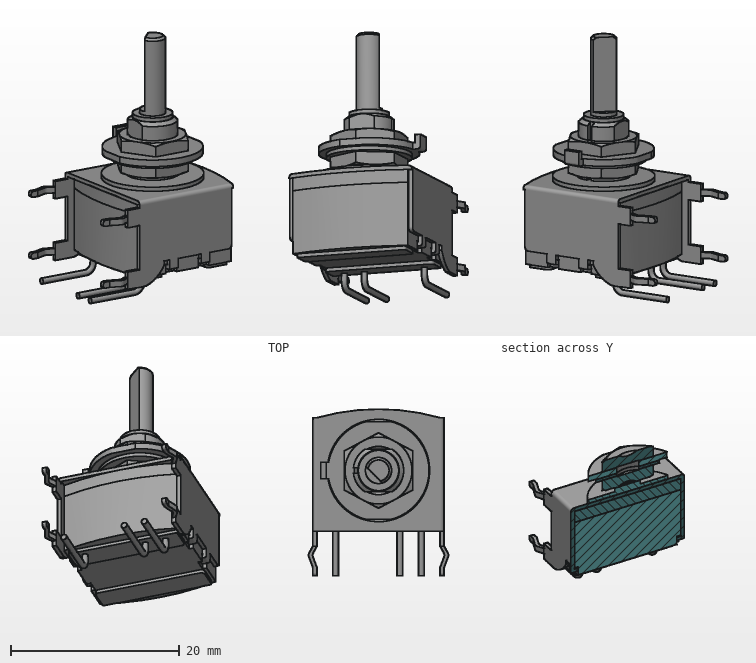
import cadquery as cq
import math


SHEET = 0.5

BRACKET_HALF_WIDTH = 7.8
INNER_HALF_WIDTH = BRACKET_HALF_WIDTH - SHEET
FRONT_Y = -7.25
BACK_Y = 7.3
SIDE_EDGE_Y = 6.28
SIDE_BACK_Y = 6.07
SIDE_BOTTOM_Z = -7.93
SIDE_BACK_RADIUS = 0.5
BEND_RADIUS = 0.48

LEG_CENTERS_Z = (-1.88, -9.5)
LOBE_HALF_HEIGHT = 1.08
LOBE_END_Y = -8.98
SKIRT_BACK_Y = -3.7
SKIRT_ARC_TOP_Z = -8.45
SKIRT_ARC_END_Y = -6.3
SKIRT_ARC_BULGE = 0.33
LEG_WIDTH = 0.75
LEG_END_Y = -12.5
KINK_START_Y = -9.75
KINK_END_Y = -10.32
KINK_FOOT_Y = -11.52
KINK_CROWN_Y = -10.02
KINK_START_OUT = 0.42
KINK_CROWN_OUT = 0.5
KINK_END_OUT = 0.45
LEG_TIP_RADIUS = 0.35

TAB_CENTER_Y = 2.27
TAB_WIDTH = 1.25
TAB_BOTTOM_Z = -9.15
TAB_BEND_RADIUS = 0.27
NOTCH_CENTER_Y = 2.33
NOTCH_WIDTH = 1.53
NOTCH_TOP_Z = -8.55
NOTCH_DEPTH = SHEET

COVER_BOTTOM_Z = -2.05
HOUSING_BOTTOM_Z = -9.7
FOOT_HALF_WIDTH = 6.88
FOOT_INNER_Y = 3.2
FOOT_OUTER_Y = 6.07
FOOT_HEIGHT = 0.45
FOOT_OUTER_RADIUS = 0.25
FOOT_INNER_RADIUS = 0.48

PIN_DIAMETER = 0.72
PIN_PITCH = 2.55
PIN_X = (-2 * PIN_PITCH, PIN_PITCH, 2 * PIN_PITCH)
PIN_Y = -5.1
PIN_BEND_RADIUS = 1.08
PIN_LEVEL_Z = -12.03

FLANGE_DIAMETER = 12.18
FLANGE_HEIGHT = 0.5
SHOULDER_DIAMETER = 6.3
SHOULDER_TOP_Z = 1.02
THREAD_DIAMETER = 5.98
THREAD_MINOR_DIAMETER = 4.9
THREAD_TOP_Z = 7.5
THREAD_CHAMFER_HEIGHT = 0.42
LIP_DIAMETER = 4.8
LIP_TOP_Z = 8.0
THREAD_FLAT_Y = 2.55
KEYWAY_WIDTH = 0.6

SHAFT_DIAMETER = 3.1
SHAFT_TOP_Z = 17.53
SHAFT_CHAMFER = 0.3
SHAFT_FLAT_BOTTOM_Z = 8.47
SHAFT_FLAT_OFFSET = 0.72
SHAFT_FLAT_ANGLE = -135

NUT_SIDE_X = 4.05
NUT_SIDE_CORNER_Y = 2.33
NUT_TIP_Y = 4.5
NUT_TOP_DIAMETER = 7.95
NUT_CORNER_DROP = 0.27
NUT_HEIGHT = 1.53
LOCK_WASHER_DIAMETER = 10.2
LOCK_WASHER_THICKNESS = 0.48
TAB_WASHER_DIAMETER = 12.0
TAB_WASHER_THICKNESS = 0.8
TAB_WASHER_FLAT_Y = 5.8
WASHER_TAB_OUTER_X = -6.88
WASHER_TAB_THICKNESS = 0.7
WASHER_TAB_WIDTH = 2.0
WASHER_TAB_HEIGHT = 1.77
WASHER_TAB_RADIUS = 0.4
LOWER_NUT_Z = SHOULDER_TOP_Z
LOCK_WASHER_Z = LOWER_NUT_Z + NUT_HEIGHT
TAB_WASHER_Z = LOCK_WASHER_Z + LOCK_WASHER_THICKNESS
UPPER_NUT_Z = TAB_WASHER_Z + TAB_WASHER_THICKNESS


def box(x_range, y_range, z_range):
    """Axis-aligned box between the given limits."""
    lengths = [end - start for start, end in (x_range, y_range, z_range)]
    corner = cq.Vector(x_range[0], y_range[0], z_range[0])
    return cq.Workplane(cq.Solid.makeBox(*lengths, corner))


def disc(diameter, bottom_z, height):
    """Vertical cylinder on the shaft axis."""
    return cq.Workplane().workplane(offset=bottom_z).circle(diameter / 2).extrude(height)


def body_block(bottom_z, top_z):
    """Block with flat sides and crowned front and back faces."""
    return (
        cq.Workplane()
        .workplane(offset=bottom_z)
        .moveTo(-INNER_HALF_WIDTH, -SIDE_EDGE_Y)
        .threePointArc((0, FRONT_Y), (INNER_HALF_WIDTH, -SIDE_EDGE_Y))
        .lineTo(INNER_HALF_WIDTH, SIDE_EDGE_Y)
        .threePointArc((0, BACK_Y), (-INNER_HALF_WIDTH, SIDE_EDGE_Y))
        .close()
        .extrude(top_z - bottom_z)
    )


def make_foot():
    """Rounded bar across the back of the housing's underside."""
    foot = box(
        (-FOOT_HALF_WIDTH, FOOT_HALF_WIDTH),
        (FOOT_INNER_Y, FOOT_OUTER_Y),
        (HOUSING_BOTTOM_Z - FOOT_HEIGHT, HOUSING_BOTTOM_Z),
    )
    foot = foot.edges("|Z and >Y").fillet(FOOT_OUTER_RADIUS)
    return foot.edges("|Z and <Y").fillet(FOOT_INNER_RADIUS)


def make_pin(x):
    """Round terminal that leaves the foot downwards and bends to the front."""
    bend_mid = PIN_BEND_RADIUS * math.sin(math.radians(45))
    bend_y = PIN_Y - PIN_BEND_RADIUS
    bend_z = PIN_LEVEL_Z + PIN_BEND_RADIUS
    path = (
        cq.Workplane("YZ", origin=(x, 0, 0))
        .moveTo(PIN_Y, HOUSING_BOTTOM_Z)
        .lineTo(PIN_Y, bend_z)
        .threePointArc((bend_y + bend_mid, bend_z - bend_mid), (bend_y, PIN_LEVEL_Z))
        .lineTo(LEG_END_Y, PIN_LEVEL_Z)
    )
    profile = cq.Workplane(origin=(x, PIN_Y, HOUSING_BOTTOM_Z)).circle(PIN_DIAMETER / 2)
    return profile.sweep(path)


def make_housing():
    """Housing with crimp notches, two feet and the terminal pins."""
    housing = body_block(HOUSING_BOTTOM_Z, COVER_BOTTOM_Z)
    notch = box(
        (INNER_HALF_WIDTH - NOTCH_DEPTH, INNER_HALF_WIDTH),
        (NOTCH_CENTER_Y - NOTCH_WIDTH / 2, NOTCH_CENTER_Y + NOTCH_WIDTH / 2),
        (HOUSING_BOTTOM_Z, NOTCH_TOP_Z),
    )
    notch_pair = notch.union(notch.mirror("XZ"))
    housing = housing.cut(notch_pair).cut(notch_pair.mirror("YZ"))
    foot = make_foot()
    housing = housing.union(foot).union(foot.mirror("XZ"))
    for x in PIN_X:
        housing = housing.union(make_pin(x))
    return housing


def make_top_plate():
    """Top plate with rounded bends, straight in front and crowned at the back."""
    plate = (
        cq.Workplane()
        .workplane(offset=-SHEET)
        .moveTo(-BRACKET_HALF_WIDTH, FRONT_Y)
        .lineTo(BRACKET_HALF_WIDTH, FRONT_Y)
        .lineTo(BRACKET_HALF_WIDTH, SIDE_EDGE_Y)
        .lineTo(INNER_HALF_WIDTH, SIDE_EDGE_Y)
        .threePointArc((0, BACK_Y), (-INNER_HALF_WIDTH, SIDE_EDGE_Y))
        .lineTo(-BRACKET_HALF_WIDTH, SIDE_EDGE_Y)
        .close()
        .extrude(SHEET)
    )
    bends = plate.faces(">Z").edges("<X or >X")
    return bends.fillet(BEND_RADIUS)


def make_leg(center_z):
    """Solder leg of the right side plate: kinked outwards, with a round tip."""
    outer_x = BRACKET_HALF_WIDTH
    inner_x = INNER_HALF_WIDTH
    strip = (
        cq.Workplane()
        .workplane(offset=center_z - LEG_WIDTH / 2)
        .moveTo(outer_x, LOBE_END_Y)
        .lineTo(outer_x + KINK_START_OUT, KINK_START_Y)
        .threePointArc(
            (outer_x + KINK_CROWN_OUT, KINK_CROWN_Y),
            (outer_x + KINK_END_OUT, KINK_END_Y),
        )
        .lineTo(outer_x, KINK_FOOT_Y)
        .lineTo(outer_x, LEG_END_Y)
        .lineTo(inner_x, LEG_END_Y)
        .lineTo(inner_x, KINK_FOOT_Y)
        .lineTo(inner_x + KINK_END_OUT, KINK_END_Y)
        .threePointArc(
            (inner_x + KINK_CROWN_OUT, KINK_CROWN_Y),
            (inner_x + KINK_START_OUT, KINK_START_Y),
        )
        .lineTo(inner_x, LOBE_END_Y)
        .close()
        .extrude(LEG_WIDTH)
    )
    return strip.edges("|X and <Y").fillet(LEG_TIP_RADIUS)


def make_side_plate():
    """Right side plate below the bend, with its two lobes."""
    upper_z, lower_z = LEG_CENTERS_Z
    skirt_z = lower_z - LOBE_HALF_HEIGHT
    plate = (
        cq.Workplane("YZ", origin=(INNER_HALF_WIDTH, 0, 0))
        .moveTo(SIDE_BACK_Y, -SHEET)
        .lineTo(FRONT_Y, -SHEET)
        .lineTo(FRONT_Y, upper_z + LOBE_HALF_HEIGHT)
        .lineTo(LOBE_END_Y, upper_z + LOBE_HALF_HEIGHT)
        .lineTo(LOBE_END_Y, upper_z - LOBE_HALF_HEIGHT)
        .lineTo(FRONT_Y, upper_z - LOBE_HALF_HEIGHT)
        .lineTo(FRONT_Y, lower_z + LOBE_HALF_HEIGHT)
        .lineTo(LOBE_END_Y, lower_z + LOBE_HALF_HEIGHT)
        .lineTo(LOBE_END_Y, skirt_z)
        .lineTo(SKIRT_ARC_END_Y, skirt_z)
        .sagittaArc((SKIRT_BACK_Y, SKIRT_ARC_TOP_Z), -SKIRT_ARC_BULGE)
        .lineTo(SKIRT_BACK_Y, SIDE_BOTTOM_Z)
        .lineTo(SIDE_BACK_Y, SIDE_BOTTOM_Z)
        .close()
        .extrude(SHEET)
    )
    return plate.edges("|X").edges(">Y").edges("<Z").fillet(SIDE_BACK_RADIUS)


def make_crimp_tab():
    """Tab that hangs from the right side plate and folds into the housing's notch."""
    y_range = (TAB_CENTER_Y - TAB_WIDTH / 2, TAB_CENTER_Y + TAB_WIDTH / 2)
    hanging = box((INNER_HALF_WIDTH, BRACKET_HALF_WIDTH), y_range, (TAB_BOTTOM_Z, SIDE_BOTTOM_Z))
    folded = box(
        (INNER_HALF_WIDTH - NOTCH_DEPTH, INNER_HALF_WIDTH),
        y_range,
        (TAB_BOTTOM_Z, TAB_BOTTOM_Z + SHEET),
    )
    return hanging.union(folded).edges("|Y and >X and <Z").fillet(TAB_BEND_RADIUS)


def make_bracket():
    """Sheet bracket: top plate and two mirrored sides with legs and crimp tabs."""
    side = make_side_plate()
    for center_z in LEG_CENTERS_Z:
        side = side.union(make_leg(center_z))
    tab = make_crimp_tab()
    side = side.union(tab).union(tab.mirror("XZ"))
    return make_top_plate().union(side).union(side.mirror("YZ"))


def make_bushing():
    """Flanged threaded bushing with two flats, a keyway and a bore for the shaft."""
    minor_radius = THREAD_MINOR_DIAMETER / 2
    thread_radius = THREAD_DIAMETER / 2
    thread = disc(THREAD_DIAMETER, SHOULDER_TOP_Z, THREAD_TOP_Z - SHOULDER_TOP_Z)
    thread = thread.faces(">Z").chamfer(THREAD_CHAMFER_HEIGHT, thread_radius - minor_radius)
    thread = thread.intersect(
        box(
            (-thread_radius, thread_radius),
            (-THREAD_FLAT_Y, THREAD_FLAT_Y),
            (SHOULDER_TOP_Z, THREAD_TOP_Z),
        )
    )
    bushing = disc(SHOULDER_DIAMETER, 0, SHOULDER_TOP_Z).union(thread)
    keyway = box(
        (-SHOULDER_DIAMETER, -minor_radius),
        (-KEYWAY_WIDTH / 2, KEYWAY_WIDTH / 2),
        (FLANGE_HEIGHT, THREAD_TOP_Z),
    )
    bushing = bushing.cut(keyway)
    bushing = bushing.union(disc(FLANGE_DIAMETER, 0, FLANGE_HEIGHT))
    bushing = bushing.union(disc(LIP_DIAMETER, THREAD_TOP_Z, LIP_TOP_Z - THREAD_TOP_Z))
    return bushing.cut(disc(SHAFT_DIAMETER, 0, LIP_TOP_Z))


def make_shaft():
    """Round shaft with a flat that faces the front left."""
    shaft = disc(SHAFT_DIAMETER, 0, SHAFT_TOP_Z).faces(">Z").chamfer(SHAFT_CHAMFER)
    flat = box(
        (SHAFT_FLAT_OFFSET, SHAFT_DIAMETER),
        (-SHAFT_DIAMETER, SHAFT_DIAMETER),
        (SHAFT_FLAT_BOTTOM_Z, SHAFT_TOP_Z),
    )
    return shaft.cut(flat.rotate((0, 0, 0), (0, 0, 1), SHAFT_FLAT_ANGLE))


def make_nut():
    """Hexagon nut on z = 0, chamfered and countersunk on top, with corners at the front and back."""
    corners = [
        (0, NUT_TIP_Y),
        (NUT_SIDE_X, NUT_SIDE_CORNER_Y),
        (NUT_SIDE_X, -NUT_SIDE_CORNER_Y),
        (0, -NUT_TIP_Y),
        (-NUT_SIDE_X, -NUT_SIDE_CORNER_Y),
        (-NUT_SIDE_X, NUT_SIDE_CORNER_Y),
    ]
    hexagon = cq.Workplane().polyline(corners).close().extrude(NUT_HEIGHT)
    corner_diameter = 2 * math.hypot(NUT_SIDE_X, NUT_SIDE_CORNER_Y)
    chamfer_width = (corner_diameter - NUT_TOP_DIAMETER) / 2
    corner_cone = disc(corner_diameter, 0, NUT_HEIGHT)
    corner_cone = corner_cone.faces(">Z").chamfer(NUT_CORNER_DROP, chamfer_width)
    nut = hexagon.intersect(corner_cone)
    nut = nut.cut(disc(THREAD_MINOR_DIAMETER, 0, NUT_HEIGHT))
    countersink_width = (THREAD_DIAMETER - THREAD_MINOR_DIAMETER) / 2
    rim = nut.faces(">Z").edges("%CIRCLE").edges(cq.selectors.RadiusNthSelector(0))
    return rim.chamfer(THREAD_CHAMFER_HEIGHT, countersink_width)


def make_lock_washer():
    """Plain ring between the lower nut and the tab washer."""
    washer = disc(LOCK_WASHER_DIAMETER, LOCK_WASHER_Z, LOCK_WASHER_THICKNESS)
    return washer.cut(disc(THREAD_DIAMETER, LOCK_WASHER_Z, LOCK_WASHER_THICKNESS))


def make_tab_washer():
    """Washer with two flats and an upturned locating tab on the left."""
    radius = TAB_WASHER_DIAMETER / 2
    top_z = TAB_WASHER_Z + TAB_WASHER_THICKNESS
    washer = disc(TAB_WASHER_DIAMETER, TAB_WASHER_Z, TAB_WASHER_THICKNESS)
    washer = washer.intersect(
        box((-radius, radius), (-TAB_WASHER_FLAT_Y, TAB_WASHER_FLAT_Y), (TAB_WASHER_Z, top_z))
    )
    tab_y = (-WASHER_TAB_WIDTH / 2, WASHER_TAB_WIDTH / 2)
    arm = box((WASHER_TAB_OUTER_X, -THREAD_DIAMETER / 2), tab_y, (TAB_WASHER_Z, top_z))
    upturn = box(
        (WASHER_TAB_OUTER_X, WASHER_TAB_OUTER_X + WASHER_TAB_THICKNESS),
        tab_y,
        (TAB_WASHER_Z, TAB_WASHER_Z + WASHER_TAB_HEIGHT),
    )
    tab = arm.union(upturn).edges("|Y and <X and <Z").fillet(WASHER_TAB_RADIUS)
    return washer.union(tab).cut(disc(THREAD_DIAMETER, TAB_WASHER_Z, TAB_WASHER_THICKNESS))


housing = make_housing()
cover = body_block(COVER_BOTTOM_Z, -SHEET)
bracket = make_bracket()
bushing = make_bushing()
shaft = make_shaft()
lock_washer = make_lock_washer()
tab_washer = make_tab_washer()

lower_nut = make_nut().mirror("XY").translate((0, 0, LOWER_NUT_Z + NUT_HEIGHT))
upper_nut = make_nut().translate((0, 0, UPPER_NUT_Z))
nuts = [nut.cut(bushing) for nut in (lower_nut, upper_nut)]

result = cq.Compound.makeCompound([
    housing.val(),
    cover.val(),
    bracket.val(),
    bushing.val(),
    shaft.val(),
    lock_washer.val(),
    tab_washer.val(),
    *[nut.val() for nut in nuts],
])